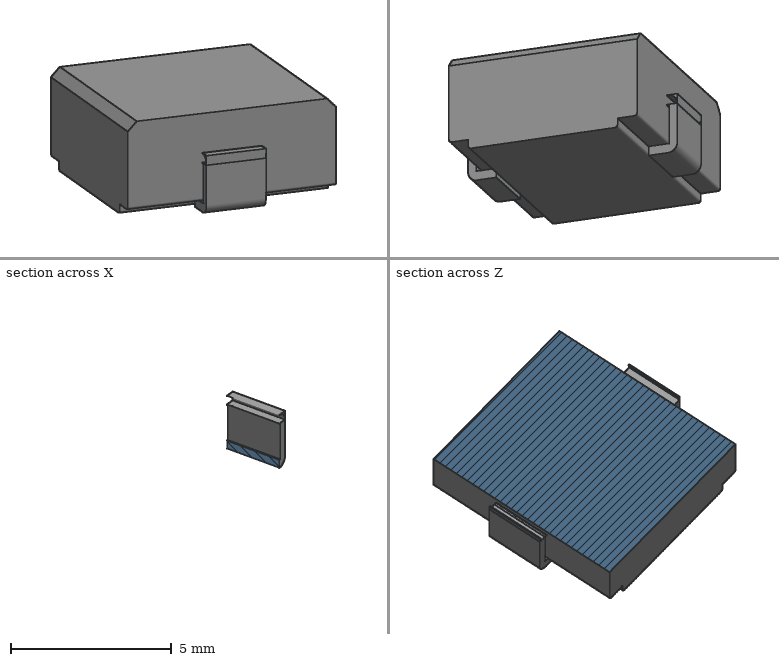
import cadquery as cq

overall_width = 7.0
body_length = 7.0
top_z = 3.2

body_width = 6.3
body_bottom_z = 0.05
step_height = 0.3
pedestal_width = 5.0
top_chamfer = 0.3
bottom_fillet = 0.1

lead_width = 2.0
foot_thickness = 0.3
upright_thickness = 0.27
flange_thickness = 0.315
lead_top_z = 1.925
foot_length = 0.945
bend_radius = 0.3

skin = 0.015
channel_radius = 0.28
ledge_thickness = 0.03

half_overall = overall_width / 2
half_body = body_width / 2
step_z = body_bottom_z + step_height
channel_floor_z = lead_top_z - flange_thickness


def make_body():
    """Block with two chamfered top edges and a shallow pedestal underneath."""
    upper_block = (
        cq.Workplane("XY")
        .box(body_width, body_length, top_z - step_z, centered=(True, True, False))
        .translate((0, 0, step_z))
        .faces(">Z").edges("|X").chamfer(top_chamfer)
        .faces("<Z").edges("|Y").fillet(bottom_fillet)
    )
    pedestal = (
        cq.Workplane("XY")
        .box(pedestal_width, body_length, step_height, centered=(True, True, False))
        .translate((0, 0, body_bottom_z))
        .faces("<Z").edges("|Y").fillet(bottom_fillet)
    )
    return upper_block.union(pedestal)


def make_lead():
    """Lead on the -X side: foot, upright and hollow top flange touching the body."""
    outer_x = -half_overall
    inner_x = outer_x + upright_thickness
    bent_strip = (
        cq.Workplane("XZ")
        .moveTo(outer_x, lead_top_z)
        .lineTo(-half_body, lead_top_z)
        .lineTo(-half_body, channel_floor_z - ledge_thickness)
        .lineTo(inner_x, channel_floor_z - ledge_thickness)
        .lineTo(inner_x, foot_thickness)
        .lineTo(outer_x + foot_length, foot_thickness)
        .lineTo(outer_x + foot_length, 0)
        .lineTo(outer_x + bend_radius, 0)
        .radiusArc((outer_x, bend_radius), bend_radius)
        .close()
        .extrude(lead_width / 2, both=True)
    )
    return bent_strip.cut(make_channel())


def make_channel():
    """Channel along Y, closed by thin skins outside and above, with a rounded top corner."""
    channel_left = -half_overall + skin
    channel_top_z = lead_top_z - skin
    return (
        cq.Workplane("XZ")
        .moveTo(channel_left, channel_floor_z)
        .lineTo(channel_left, channel_top_z - channel_radius)
        .radiusArc((channel_left + channel_radius, channel_top_z), channel_radius)
        .lineTo(-half_body, channel_top_z)
        .lineTo(-half_body, channel_floor_z)
        .close()
        .extrude(lead_width / 2, both=True)
    )


body = make_body()

leads = []
for angle in (0, 180):
    leads.append(make_lead().rotate((0, 0, 0), (0, 0, 1), angle).solids().val())

result = cq.Compound.makeCompound([body.solids().val(), *leads])